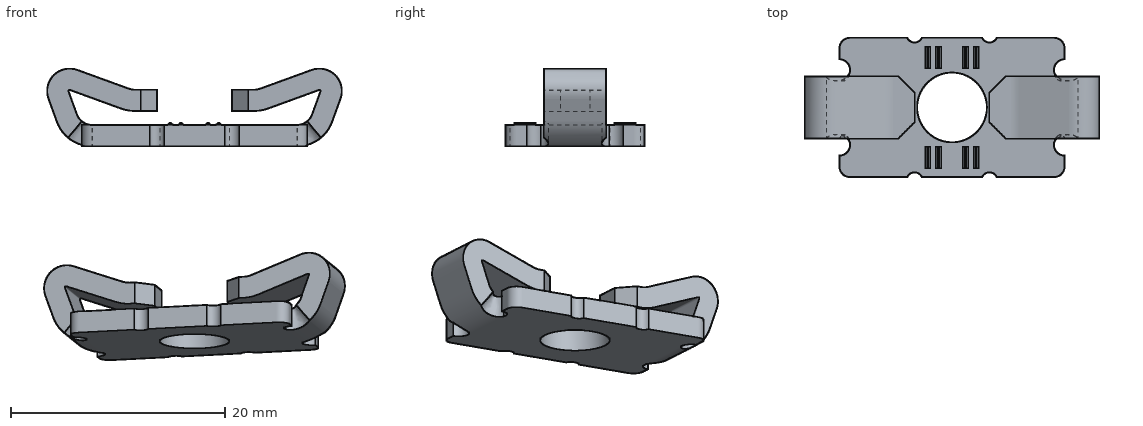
import cadquery as cq
import math


THICKNESS = 2.0
LENGTH = 21.0
WIDTH = 13.0
CORNER_RADIUS = 1.0
HOLE_DIAMETER = 6.5

EDGE_NOTCH_X = 3.5
EDGE_NOTCH_RADIUS = 0.75
EDGE_NOTCH_DEPTH = 0.45

RELIEF_Y = 3.5
RELIEF_RADIUS = 1.0
RELIEF_CLEARANCE = 0.15
RELIEF_STEPS = 16

OVERALL_LENGTH = 27.5
OVERALL_HEIGHT = 7.25
ARM_WIDTH = 5.8
ARM_SLOPE = 20.0
BASE_BEND_INSIDE = 1.48
TOP_BEND_INSIDE = 0.1
TIP_BEND_INSIDE = 2.0
TIP_BEND_X = 5.5
TIP_X = 3.5
TIP_CHAMFER = 1.5

RIDGE_XS = (1.26, 2.25)
RIDGE_Y = 4.68
RIDGE_LENGTH = 2.0
RIDGE_BASE_WIDTH = 0.5
RIDGE_TOP_WIDTH = 0.1
RIDGE_HEIGHT = 0.2

LEG_ANGLE = -ARM_SLOPE
RETURN_ANGLE = 90 + ARM_SLOPE
DOWN = -90
base_outside = BASE_BEND_INSIDE + THICKNESS
top_outside = TOP_BEND_INSIDE + THICKNESS
tip_outside = TIP_BEND_INSIDE + THICKNESS
sin_slope = math.sin(math.radians(ARM_SLOPE))
cos_slope = math.cos(math.radians(ARM_SLOPE))

top_x = OVERALL_LENGTH / 2 - top_outside
top_z = OVERALL_HEIGHT - top_outside
base_z = base_outside
base_x = top_x + ((base_z - top_z) * sin_slope + top_outside - base_outside) / cos_slope
tip_z = top_z + ((TIP_BEND_X - top_x) * sin_slope + top_outside + TIP_BEND_INSIDE) / cos_slope
TOP_CENTRE = (top_x, top_z)
BASE_CENTRE = (base_x, base_z)
TIP_CENTRE = (TIP_BEND_X, tip_z)

edge_distance = LENGTH / 2 - base_x
root_width = 2 * (RELIEF_Y - math.sqrt(RELIEF_RADIUS**2 - edge_distance**2))
mid_bend_radius = (BASE_BEND_INSIDE + base_outside) / 2
relief_angle = math.degrees(edge_distance / mid_bend_radius)


def around(centre, radius, angle):
    """Point at an angle in degrees on a circle about centre."""
    turn = math.radians(angle)
    return (centre[0] + radius * math.cos(turn), centre[1] + radius * math.sin(turn))


def bend(outline, centre, radius, start, end):
    """Run the outline to the start of a bend, then along its arc."""
    return outline.lineTo(*around(centre, radius, start)).threePointArc(
        around(centre, radius, (start + end) / 2), around(centre, radius, end)
    )


def make_arm():
    """The +X arm: base bend, leg, top bend, sloping return and chamfered level tip."""
    outline = cq.Workplane("XZ").moveTo(base_x, THICKNESS)
    outline = bend(outline, BASE_CENTRE, base_outside, DOWN, LEG_ANGLE)
    outline = bend(outline, TOP_CENTRE, top_outside, LEG_ANGLE, RETURN_ANGLE)
    outline = bend(outline, TIP_CENTRE, TIP_BEND_INSIDE, RETURN_ANGLE - 180, DOWN)
    outline = outline.lineTo(TIP_X, tip_z - TIP_BEND_INSIDE).lineTo(TIP_X, tip_z - tip_outside)
    outline = bend(outline, TIP_CENTRE, tip_outside, DOWN, RETURN_ANGLE - 180)
    outline = bend(outline, TOP_CENTRE, TOP_BEND_INSIDE, RETURN_ANGLE, LEG_ANGLE)
    outline = bend(outline, BASE_CENTRE, BASE_BEND_INSIDE, LEG_ANGLE, DOWN)
    arm = outline.close().extrude(ARM_WIDTH / 2, both=True)
    return arm.faces("<X").edges("|Z").chamfer(TIP_CHAMFER)


def make_root():
    """Wider first stretch of the base bend, up to the middle of the reliefs."""
    outline = cq.Workplane("XZ").moveTo(base_x, THICKNESS)
    outline = bend(outline, BASE_CENTRE, base_outside, DOWN, DOWN + relief_angle)
    outline = bend(outline, BASE_CENTRE, BASE_BEND_INSIDE, DOWN + relief_angle, DOWN)
    return outline.close().extrude(root_width / 2, both=True)


def make_bent_relief():
    """Cutter for the round relief where it wraps around the base bend on the +Y side.

    The relief is a circle in the flat sheet. Its distance along the sheet turns into
    bend angle at mid thickness, and its wall runs along the bend radius.
    """
    half_sweep = math.acos((RELIEF_Y - root_width / 2 - RELIEF_CLEARANCE) / RELIEF_RADIUS)

    def wall_point(radius, step):
        sweep = half_sweep * (2 * step / RELIEF_STEPS - 1)
        distance = edge_distance + RELIEF_RADIUS * math.sin(sweep)
        x, z = around(BASE_CENTRE, radius, DOWN + math.degrees(distance / mid_bend_radius))
        return cq.Vector(x, RELIEF_Y - RELIEF_RADIUS * math.cos(sweep), z)

    def rim(radius):
        """Wall curve at one radius and the arc behind it, clear of the arm."""
        wall = [wall_point(radius, step) for step in range(RELIEF_STEPS + 1)]
        back = [cq.Vector(wall[i].x, RELIEF_Y, wall[i].z) for i in (0, RELIEF_STEPS // 2, RELIEF_STEPS)]
        return cq.Edge.makeSpline(wall), cq.Edge.makeThreePointArc(*back)

    inner_wall, inner_back = rim(BASE_BEND_INSIDE - RELIEF_CLEARANCE)
    outer_wall, outer_back = rim(base_outside + RELIEF_CLEARANCE)

    def end_face(at):
        corners = [edge.positionAt(at) for edge in (inner_wall, outer_wall, outer_back, inner_back)]
        return cq.Face.makeFromWires(cq.Wire.makePolygon(corners, close=True))

    faces = [
        cq.Face.makeRuledSurface(inner_wall, outer_wall),
        cq.Face.makeRuledSurface(inner_back, outer_back),
        cq.Face.makeRuledSurface(inner_wall, inner_back),
        cq.Face.makeRuledSurface(outer_wall, outer_back),
        end_face(0),
        end_face(1),
    ]
    return cq.Workplane(cq.Solid.makeSolid(cq.Shell.makeShell(faces)))


def make_plate():
    """Flat plate with its hole, edge notches, reliefs and openings for the arm roots."""
    plate = cq.Workplane().box(LENGTH, WIDTH, THICKNESS, centered=(True, True, False))
    plate = plate.edges("|Z").fillet(CORNER_RADIUS)
    notch_y = WIDTH / 2 + EDGE_NOTCH_RADIUS - EDGE_NOTCH_DEPTH
    plate = plate.cut(cq.Workplane().circle(HOLE_DIAMETER / 2).extrude(THICKNESS))
    for end in (-1, 1):
        for side in (-1, 1):
            notch = cq.Workplane().center(end * EDGE_NOTCH_X, side * notch_y).circle(EDGE_NOTCH_RADIUS)
            relief = cq.Workplane().center(end * LENGTH / 2, side * RELIEF_Y).circle(RELIEF_RADIUS)
            plate = plate.cut(notch.extrude(THICKNESS)).cut(relief.extrude(THICKNESS))
        opening = cq.Workplane().center(end * (base_x + edge_distance / 2), 0)
        plate = plate.cut(opening.rect(edge_distance, root_width).extrude(THICKNESS))
    return plate


def make_ridge(x, y):
    """One tapered ridge standing on the plate, running along Y."""
    crest_z = THICKNESS + RIDGE_HEIGHT
    corners = [
        (x - RIDGE_BASE_WIDTH / 2, THICKNESS),
        (x + RIDGE_BASE_WIDTH / 2, THICKNESS),
        (x + RIDGE_TOP_WIDTH / 2, crest_z),
        (x - RIDGE_TOP_WIDTH / 2, crest_z),
    ]
    ridge = cq.Workplane("XZ").polyline(corners).close().extrude(RIDGE_LENGTH / 2, both=True)
    return ridge.translate((0, y, 0))


bent_relief = make_bent_relief()
arm = make_arm().union(make_root()).cut(bent_relief).cut(bent_relief.mirror("XZ"))
result = make_plate().union(arm).union(arm.mirror("YZ"))
for ridge_x in RIDGE_XS:
    for x in (-ridge_x, ridge_x):
        for y in (-RIDGE_Y, RIDGE_Y):
            result = result.union(make_ridge(x, y))
result = result.solids()